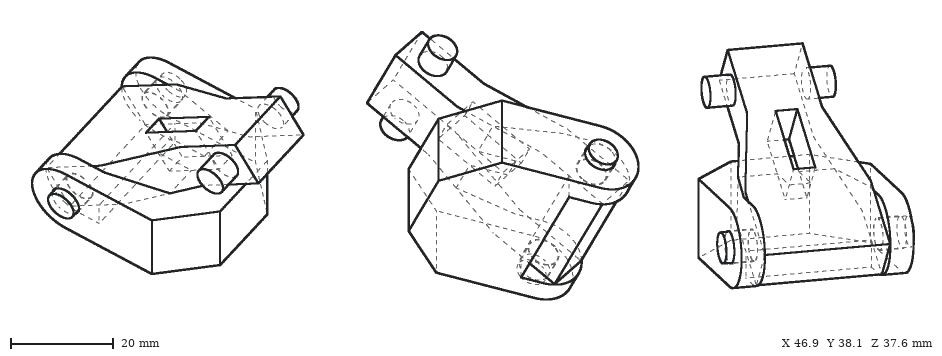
import cadquery as cq

BASE_LENGTH = 38.0
BASE_WIDTH = 34.95
BASE_HEIGHT = 16.0
CORNER_CUT = 9.5
CAVITY_LENGTH = 12.65
PIVOT_HOLE_DIAMETER = 6.38

LEVER_ANGLE = 35.5
LEVER_WIDTH = 25.5
NECK_WIDTH = 15.25
LEVER_THICKNESS = 9.5
END_OVERHANG = 6.25
PIN_SPACING = 38.1
TAPER_START = 9.5
TAPER_END = 28.5
WINDOW_START = 13.95
WINDOW_WIDTH = 4.4
WINDOW_OFFSET = -0.38

PIN_DIAMETER = 6.1
PIVOT_PIN_LENGTH = 38.1
TIP_PIN_LENGTH = LEVER_WIDTH

BASE_RADIUS = BASE_HEIGHT / 2
BASE_REAR = -BASE_RADIUS
BASE_FRONT = BASE_REAR + BASE_LENGTH


def cross_rod(x, diameter, length):
    """Cylinder along Y, centred on Y = 0, with its axis at the given X."""
    return (
        cq.Workplane("XZ", origin=(x, 0, 0))
        .circle(diameter / 2)
        .extrude(length / 2, both=True)
    )


def make_lever():
    rear = -END_OVERHANG
    tip = PIN_SPACING + END_OVERHANG
    half_width = LEVER_WIDTH / 2
    half_neck = NECK_WIDTH / 2
    upper_side = [(rear, half_width), (TAPER_START, half_width), (TAPER_END, half_neck), (tip, half_neck)]
    lower_side = [(x, -y) for x, y in reversed(upper_side)]
    plate = (
        cq.Workplane("XY")
        .polyline(upper_side + lower_side)
        .close()
        .extrude(LEVER_THICKNESS / 2, both=True)
    )

    window_length = TAPER_END - WINDOW_START
    window = (
        cq.Workplane("XY")
        .center(WINDOW_START + window_length / 2, WINDOW_OFFSET)
        .rect(window_length, WINDOW_WIDTH)
        .extrude(LEVER_THICKNESS, both=True)
    )
    pivot_pin = cross_rod(0, PIN_DIAMETER, PIVOT_PIN_LENGTH)
    tip_pin = cross_rod(PIN_SPACING, PIN_DIAMETER, TIP_PIN_LENGTH)
    lever = plate.cut(window).union(pivot_pin).union(tip_pin)
    return lever.rotate((0, 0, 0), (0, 1, 0), -LEVER_ANGLE)


def make_base(lever):
    block = (
        cq.Workplane("XZ")
        .moveTo(0, -BASE_RADIUS)
        .lineTo(BASE_FRONT, -BASE_RADIUS)
        .lineTo(BASE_FRONT, BASE_RADIUS)
        .lineTo(0, BASE_RADIUS)
        .threePointArc((BASE_REAR, 0), (0, -BASE_RADIUS))
        .close()
        .extrude(BASE_WIDTH / 2, both=True)
        .edges("|Z and >X")
        .chamfer(CORNER_CUT)
    )
    cavity = (
        cq.Workplane("XY")
        .center(BASE_REAR + CAVITY_LENGTH / 2, 0)
        .rect(CAVITY_LENGTH, LEVER_WIDTH)
        .extrude(BASE_HEIGHT, both=True)
    )
    pivot_hole = cross_rod(0, PIVOT_HOLE_DIAMETER, BASE_WIDTH)

    return block.cut(cavity).cut(pivot_hole).cut(lever)


lever = make_lever()
base = make_base(lever)
result = cq.Compound.makeCompound([base.val(), lever.val()])